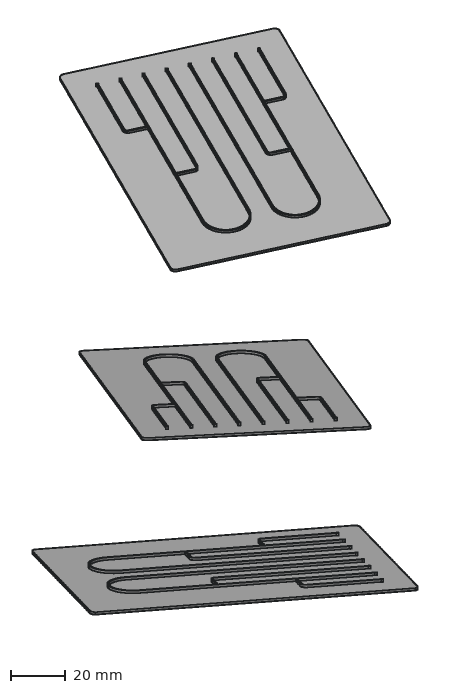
import cadquery as cq
import math

plate_length = 124.46
plate_width = 85.5
plate_thickness = 1.0
corner_radius = 2.4
corner_depth = 2.2

ridge_height = 1.0
ridge_width = 0.53
bend_outer_radius = 2.0
bend_inner_radius = 0.9

port_diameter = 1.0

row_pitch = 9.0
inner_row = row_pitch / 2
feed_row = inner_row + row_pitch
loop_row = feed_row + row_pitch
outer_row = loop_row + row_pitch
port_inset = 11.0
port_x = port_inset - plate_length / 2
loop_straight_length = 90.0
loop_center_x = port_x + loop_straight_length
outer_branch_x = -21.0
branch_spacing = 30.0
feed_branch_x = outer_branch_x + branch_spacing
loop_radius = (loop_row - inner_row) / 2


def make_plate():
    """Plate rounded at full corner radius, then trimmed to width through the corner arcs."""
    untrimmed_width = plate_width + 2 * (corner_radius - corner_depth)
    rounded = (
        cq.Workplane("XY")
        .rect(plate_length, untrimmed_width)
        .extrude(plate_thickness)
        .edges("|Z")
        .fillet(corner_radius)
    )
    trim = cq.Workplane("XY").rect(plate_length, plate_width).extrude(plate_thickness)
    return rounded.intersect(trim)


def ridge_plane():
    return cq.Workplane("XY", origin=(0, 0, plate_thickness))


def make_loop():
    """U-shaped ridge joining the loop row to the inner row."""
    outer_radius = loop_radius + ridge_width / 2
    inner_radius = loop_radius - ridge_width / 2
    return (
        ridge_plane()
        .moveTo(port_x, feed_row + outer_radius)
        .lineTo(loop_center_x, feed_row + outer_radius)
        .threePointArc((loop_center_x + outer_radius, feed_row), (loop_center_x, feed_row - outer_radius))
        .lineTo(port_x, feed_row - outer_radius)
        .lineTo(port_x, feed_row - inner_radius)
        .lineTo(loop_center_x, feed_row - inner_radius)
        .threePointArc((loop_center_x + inner_radius, feed_row), (loop_center_x, feed_row + inner_radius))
        .lineTo(port_x, feed_row + inner_radius)
        .close()
        .extrude(ridge_height)
    )


def make_branch(row, branch_x):
    """Ridge along a row that bends at branch_x and runs into the loop row."""
    toward_loop = math.copysign(1, loop_row - row)
    half_width = ridge_width / 2
    outer_corner = (branch_x + half_width, row - toward_loop * half_width)
    inner_corner = (branch_x - half_width, row + toward_loop * half_width)
    branch = (
        ridge_plane()
        .moveTo(port_x, outer_corner[1])
        .lineTo(*outer_corner)
        .lineTo(outer_corner[0], loop_row)
        .lineTo(inner_corner[0], loop_row)
        .lineTo(*inner_corner)
        .lineTo(port_x, inner_corner[1])
        .close()
        .extrude(ridge_height)
    )
    for corner, radius in ((inner_corner, bend_inner_radius), (outer_corner, bend_outer_radius)):
        corner_edge = cq.selectors.NearestToPointSelector((*corner, plate_thickness + ridge_height / 2))
        branch = branch.edges("|Z").edges(corner_edge).fillet(radius)
    return branch


def make_ports():
    port_centers = [(port_x, row) for row in (inner_row, feed_row, loop_row, outer_row)]
    return ridge_plane().pushPoints(port_centers).circle(port_diameter / 2).extrude(ridge_height)


half_network = (
    make_loop()
    .union(make_branch(outer_row, outer_branch_x))
    .union(make_branch(feed_row, feed_branch_x))
    .union(make_ports())
)
result = make_plate().union(half_network).union(half_network.mirror("XZ"))